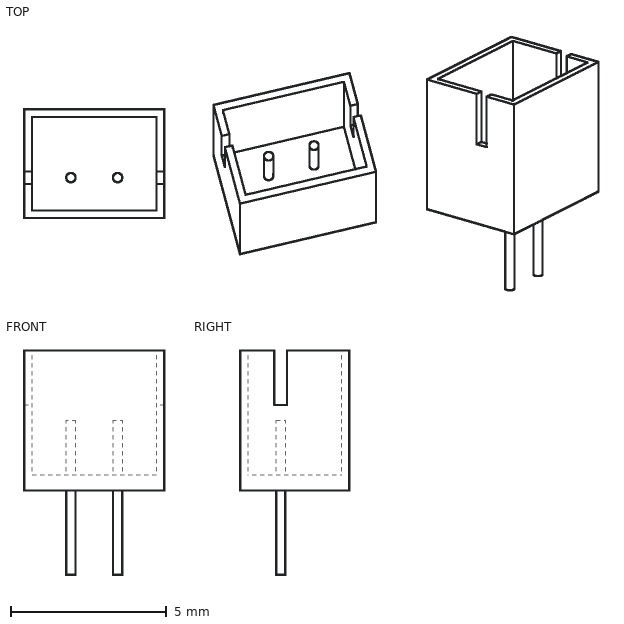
import cadquery as cq

housing_width = 4.5
housing_depth = 3.5
housing_height = 4.5
wall = 0.25
floor_thickness = 0.5

pin_diameter = 0.3
pin_count = 2
pin_pitch = 1.5
pin_length_below = 2.7
pin_top = 2.25
pin_row_to_front = 1.3

slot_width = 0.4
slot_depth = 1.75

housing_center_y = housing_depth / 2 - pin_row_to_front


def box_on(base_z, width, depth, height, center_y):
    """Box centred on X = 0 with its underside at base_z."""
    return (
        cq.Workplane("XY", origin=(0, center_y, base_z))
        .box(width, depth, height, centered=(True, True, False))
    )


def make_housing():
    shell = box_on(0, housing_width, housing_depth, housing_height, housing_center_y)
    cavity = box_on(
        floor_thickness,
        housing_width - 2 * wall,
        housing_depth - 2 * wall,
        housing_height - floor_thickness,
        housing_center_y,
    )
    slots = box_on(housing_height - slot_depth, housing_width, slot_width, slot_depth, 0)
    return shell.cut(cavity).cut(slots)


def make_pins():
    return (
        cq.Workplane("XY", origin=(0, 0, -pin_length_below))
        .rarray(pin_pitch, pin_pitch, pin_count, 1)
        .circle(pin_diameter / 2)
        .extrude(pin_length_below + pin_top)
    )


result = make_housing().union(make_pins())